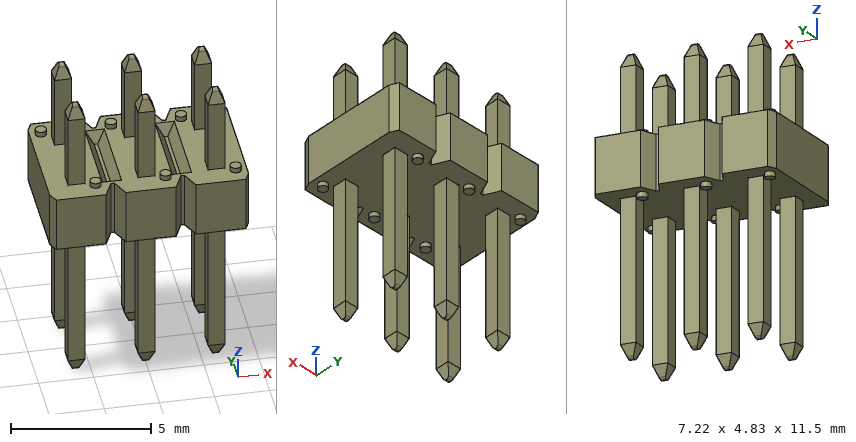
import cadquery as cq
import math

COLUMNS = 3
ROWS = 2
PITCH = 2.54
column_xs = [(i - (COLUMNS - 1) / 2) * PITCH for i in range(COLUMNS)]
row_ys = [(j - (ROWS - 1) / 2) * PITCH for j in range(ROWS)]
gap_xs = [(a + b) / 2 for a, b in zip(column_xs, column_xs[1:])]

HOUSING_LENGTH = 7.22
HOUSING_WIDTH = 4.83
HOUSING_HEIGHT = 2.14
CORNER_CUT_X = 0.17
CORNER_CUT_Y = 0.36

NOTCH_MOUTH = 0.71
NOTCH_FLOOR = 0.13
NOTCH_DEPTH = 0.65

POCKET_LENGTH = 3.24
POCKET_WIDTH = 0.7
POCKET_FLOOR_LENGTH = 2.75
POCKET_FLOOR_WIDTH = 0.13
POCKET_DEPTH = 0.45

PEG_DIAMETER = 0.4
PEG_HEIGHT = 0.2
PEG_OFFSET_X = 0.65
PEG_OFFSET_Y = 0.48

PIN_LENGTH = 11.5
PIN_SIZE = 0.62
PIN_TOP = 5.47
PIN_BOTTOM = PIN_TOP - PIN_LENGTH
TIP_LENGTH = 0.53
TIP_WIDTH = 0.18
TIP_RADIUS = 0.15


def make_block():
    """Rectangular block with its four vertical corners cut at a slant."""
    half_x = HOUSING_LENGTH / 2
    half_y = HOUSING_WIDTH / 2
    flat_x = half_x - CORNER_CUT_X
    flat_y = half_y - CORNER_CUT_Y
    outline = [
        (-flat_x, -half_y), (flat_x, -half_y), (half_x, -flat_y), (half_x, flat_y),
        (flat_x, half_y), (-flat_x, half_y), (-half_x, flat_y), (-half_x, -flat_y),
    ]
    return cq.Workplane("XY").polyline(outline).close().extrude(HOUSING_HEIGHT)


def make_notch(x, side):
    """Full-height V notch at x, in the -Y (side = -1) or +Y (side = 1) wall."""
    mouth_y = side * HOUSING_WIDTH / 2
    floor_y = side * (HOUSING_WIDTH / 2 - NOTCH_DEPTH)
    outline = [
        (x - NOTCH_MOUTH / 2, mouth_y), (x - NOTCH_FLOOR / 2, floor_y),
        (x + NOTCH_FLOOR / 2, floor_y), (x + NOTCH_MOUTH / 2, mouth_y),
    ]
    return cq.Workplane("XY").polyline(outline).close().extrude(HOUSING_HEIGHT)


def make_pocket(x):
    """Pocket at x whose four walls slope in to a narrow flat floor."""
    return (
        cq.Workplane("XY", origin=(x, 0, HOUSING_HEIGHT))
        .rect(POCKET_WIDTH, POCKET_LENGTH)
        .workplane(offset=-POCKET_DEPTH)
        .rect(POCKET_FLOOR_WIDTH, POCKET_FLOOR_LENGTH)
        .loft(ruled=True)
    )


def make_pegs():
    """Pegs on both faces, toward -X of each +Y row pin and toward +X of each -Y row pin."""
    front_row_y = row_ys[0] - PEG_OFFSET_Y
    back_row_y = row_ys[-1] + PEG_OFFSET_Y
    centers = [(x + PEG_OFFSET_X, front_row_y) for x in column_xs]
    centers += [(x - PEG_OFFSET_X, back_row_y) for x in column_xs]
    return (
        cq.Workplane("XY", origin=(0, 0, -PEG_HEIGHT))
        .pushPoints(centers)
        .circle(PEG_DIAMETER / 2)
        .extrude(HOUSING_HEIGHT + 2 * PEG_HEIGHT)
    )


def make_pin_holes():
    """Square through holes that the pins fill."""
    return (
        cq.Workplane("XY")
        .pushPoints([(x, y) for x in column_xs for y in row_ys])
        .rect(PIN_SIZE, PIN_SIZE)
        .extrude(HOUSING_HEIGHT)
    )


def make_housing():
    """Block with its notches, pockets, pegs and pin holes."""
    housing = make_block()
    for x in gap_xs:
        housing = housing.cut(make_notch(x, -1)).cut(make_notch(x, 1)).cut(make_pocket(x))
    return housing.union(make_pegs()).cut(make_pin_holes())


def make_pin(x, y):
    """Square pin, tapered to a flat width in X and to a full round in Y at both ends."""
    half = PIN_SIZE / 2
    half_tip = TIP_WIDTH / 2
    upper_shoulder = PIN_TOP - TIP_LENGTH
    lower_shoulder = PIN_BOTTOM + TIP_LENGTH

    x_outline = [
        (-half, lower_shoulder), (-half_tip, PIN_BOTTOM), (half_tip, PIN_BOTTOM),
        (half, lower_shoulder), (half, upper_shoulder), (half_tip, PIN_TOP),
        (-half_tip, PIN_TOP), (-half, upper_shoulder),
    ]
    x_profile = cq.Workplane("XZ").polyline(x_outline).close().extrude(half, both=True)

    center_rise = TIP_LENGTH - TIP_RADIUS
    center_distance = math.hypot(half, center_rise)
    slant = math.atan2(half, center_rise) - math.asin(TIP_RADIUS / center_distance)
    round_y = TIP_RADIUS * math.cos(slant)
    round_rise = TIP_RADIUS * math.sin(slant)
    upper_round_z = PIN_TOP - TIP_RADIUS + round_rise
    lower_round_z = PIN_BOTTOM + TIP_RADIUS - round_rise
    y_profile = (
        cq.Workplane("YZ")
        .moveTo(half, lower_shoulder)
        .lineTo(half, upper_shoulder)
        .lineTo(round_y, upper_round_z)
        .threePointArc((0, PIN_TOP), (-round_y, upper_round_z))
        .lineTo(-half, upper_shoulder)
        .lineTo(-half, lower_shoulder)
        .lineTo(-round_y, lower_round_z)
        .threePointArc((0, PIN_BOTTOM), (round_y, lower_round_z))
        .close()
        .extrude(half, both=True)
    )
    return x_profile.intersect(y_profile).translate((x, y, 0))


housing = make_housing()
pins = [make_pin(x, y) for x in column_xs for y in row_ys]

result = cq.Compound.makeCompound([housing.val(), *[pin.val() for pin in pins]])